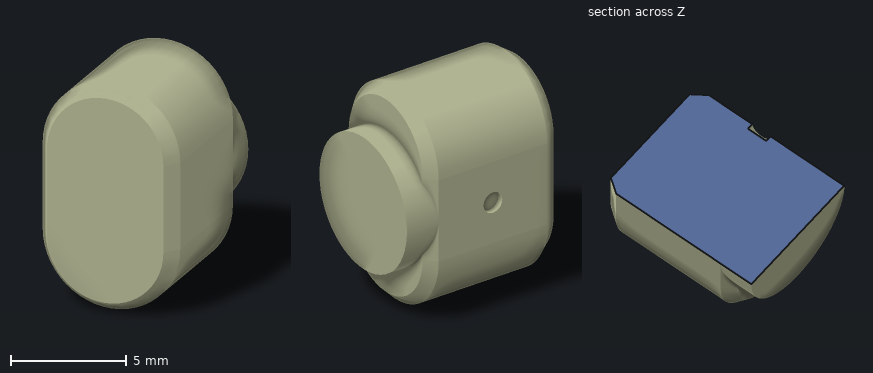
import cadquery as cq

body_width = 6.5
body_height = 10.5
body_length = 7.0

bevel_width = 0.5
front_bevel_length = 0.7
rear_bevel_length = 0.5

boss_diameter = body_width
boss_length = 1.2

hole_diameter = 1.0
hole_depth = 0.3
hole_from_front = 3.6

overall_length = body_length + boss_length


def obround(y, inset):
    """Obround wire in the XZ plane at the given Y, shrunk evenly by inset."""
    radius = body_width / 2 - inset
    half_straight = (body_height - body_width) / 2
    return (
        cq.Workplane("XZ", origin=(0, y, 0))
        .moveTo(-radius, -half_straight)
        .lineTo(-radius, half_straight)
        .threePointArc((0, half_straight + radius), (radius, half_straight))
        .lineTo(radius, -half_straight)
        .threePointArc((0, -half_straight - radius), (-radius, -half_straight))
        .close()
        .wire()
        .val()
    )


def body_section(y_start, inset_start, y_end, inset_end):
    """Stretch of the body between two obround outlines."""
    outlines = [obround(y_start, inset_start), obround(y_end, inset_end)]
    return cq.Workplane(cq.Solid.makeLoft(outlines, True))


def make_body():
    front_edge = front_bevel_length
    rear_edge = body_length - rear_bevel_length
    front_bevel = body_section(0, bevel_width, front_edge, 0)
    middle = body_section(front_edge, 0, rear_edge, 0)
    rear_bevel = body_section(rear_edge, 0, body_length, bevel_width)
    return front_bevel.union(middle).union(rear_bevel)


def make_boss():
    start = body_length - rear_bevel_length
    return (
        cq.Workplane("XZ", origin=(0, start, 0))
        .circle(boss_diameter / 2)
        .extrude(-(overall_length - start))
    )


def make_pin_hole():
    return (
        cq.Workplane("YZ", origin=(-body_width / 2, hole_from_front, 0))
        .circle(hole_diameter / 2)
        .extrude(hole_depth)
    )


result = make_body().union(make_boss()).cut(make_pin_hole())